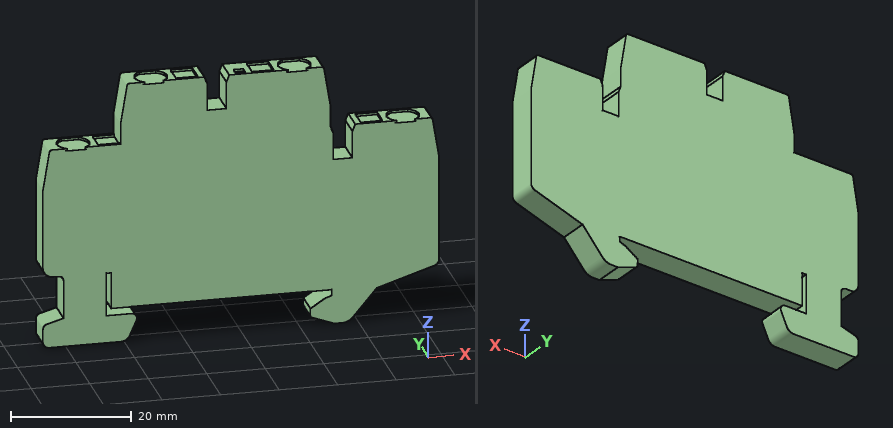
import cadquery as cq

LENGTH = 67.7
THICKNESS = 5.2
HEIGHT = 46.0

STEP_TOP = 35.3
TOWER_LEFT = 13.3
TOWER_RIGHT = 49.15
TOWER_CENTER = (TOWER_LEFT + TOWER_RIGHT) / 2
TAPER_WIDTH = 1.15
TAPER_HEIGHT = 7.05
TAPER_TOP_RADIUS = 0.5

NOTCH_WIDTH = 3.25
NOTCH_DEPTH = 5.95
FLARE_WIDTH = 0.5
FLARE_HEIGHT = 1.2
UPPER_NOTCH_LEFT = 28.1
LOWER_NOTCH_LEFT = 49.6

RIGHT_LOWER_CORNER_Z = 9.1
RIGHT_LOWER_CORNER_RADIUS = 1.15

SEAT_Z = 6.1
SLOT_LEFT = 10.8
SLOT_RIGHT = 11.65
SLOT_TOP = 12.45

UNDERCUT_X = 3.5
UNDERCUT_TOP = 12.6
UNDERCUT_BOTTOM = 5.1
HEEL_Z = 4.05
TOE_TOP = 4.9
TOE_TOP_X = 16.6
TOE_BOTTOM_X = 14.4
HEEL_BOTTOM_RADIUS = 1.0
HEEL_TOP_RADIUS = 0.9
UNDERCUT_INNER_RADIUS = 0.9
UNDERCUT_OUTER_RADIUS = 1.6
TOE_TOP_RADIUS = 0.95
TOE_BOTTOM_RADIUS = 1.6

HOOK_ROOT_X = 49.35
HOOK_ROOT_Z = 5.1
HOOK_SHOULDER = (48.2, 4.7)
HOOK_TIP_X = 45.7
HOOK_TIP_TOP = 3.05
HOOK_TIP_BOTTOM = 1.5
HOOK_BOTTOM_LEFT = 49.75
HOOK_BOTTOM_RIGHT = 52.25
HOOK_BACK = (57.1, 5.7)
HOOK_BOTTOM_RADIUS = 2.4
HOOK_TIP_RADIUS = 0.35
HOOK_ROOT_RADIUS = 0.3

RECESS_DEPTH = 0.4
SCREW_RADIUS = 2.8
SCREW_CENTER_Y = 2.3
SCREW_BACK_Y = 4.7
WINDOW_LENGTH = 3.7
WINDOW_WIDTH = 3.85
WINDOW_FRONT_Y = 0.6
TEST_POINT_SIZE = 1.6
TEST_POINT_LEFT = 33.1
LOWER_SCREW_OFFSET = 28.15
LOWER_WINDOW_OFFSET = LENGTH / 2 - TOWER_LEFT + WINDOW_LENGTH / 2
UPPER_SCREW_OFFSET = 12.25
UPPER_WINDOW_OFFSET = 6.5


def make_body():
    """Extrude the housing outline through the full thickness."""
    upper_notch_right = UPPER_NOTCH_LEFT + NOTCH_WIDTH
    lower_notch_right = LOWER_NOTCH_LEFT + NOTCH_WIDTH
    side_top = STEP_TOP - TAPER_HEIGHT
    tower_side_top = HEIGHT - TAPER_HEIGHT
    outline = [
        (0, 0),
        (0, HEEL_Z),
        (UNDERCUT_X, UNDERCUT_BOTTOM),
        (UNDERCUT_X, UNDERCUT_TOP),
        (0, UNDERCUT_TOP),
        (0, side_top),
        (TAPER_WIDTH, STEP_TOP),
        (TOWER_LEFT, STEP_TOP),
        (TOWER_LEFT, tower_side_top),
        (TOWER_LEFT + TAPER_WIDTH, HEIGHT),
        (UPPER_NOTCH_LEFT - FLARE_WIDTH, HEIGHT),
        (UPPER_NOTCH_LEFT, HEIGHT - FLARE_HEIGHT),
        (UPPER_NOTCH_LEFT, HEIGHT - NOTCH_DEPTH),
        (upper_notch_right, HEIGHT - NOTCH_DEPTH),
        (upper_notch_right, HEIGHT - FLARE_HEIGHT),
        (upper_notch_right + FLARE_WIDTH, HEIGHT),
        (TOWER_RIGHT - TAPER_WIDTH, HEIGHT),
        (TOWER_RIGHT, tower_side_top),
        (TOWER_RIGHT, STEP_TOP),
        (LOWER_NOTCH_LEFT, STEP_TOP - FLARE_HEIGHT),
        (LOWER_NOTCH_LEFT, STEP_TOP - NOTCH_DEPTH),
        (lower_notch_right, STEP_TOP - NOTCH_DEPTH),
        (lower_notch_right, STEP_TOP - FLARE_HEIGHT),
        (lower_notch_right + FLARE_WIDTH, STEP_TOP),
        (LENGTH - TAPER_WIDTH, STEP_TOP),
        (LENGTH, side_top),
        (LENGTH, RIGHT_LOWER_CORNER_Z),
        HOOK_BACK,
        (HOOK_BOTTOM_RIGHT, 0),
        (HOOK_BOTTOM_LEFT, 0),
        (HOOK_TIP_X, HOOK_TIP_BOTTOM),
        (HOOK_TIP_X, HOOK_TIP_TOP),
        HOOK_SHOULDER,
        (HOOK_ROOT_X, HOOK_ROOT_Z),
        (HOOK_ROOT_X, SEAT_Z),
        (SLOT_RIGHT, SEAT_Z),
        (SLOT_RIGHT, SLOT_TOP),
        (SLOT_LEFT, SLOT_TOP),
        (SLOT_LEFT, TOE_TOP),
        (TOE_TOP_X, TOE_TOP),
        (TOE_BOTTOM_X, 0),
    ]
    return cq.Workplane("XZ").polyline(outline).close().extrude(-THICKNESS)


def round_corners(body):
    """Round the outline corners of the foot, hook, sides and taper tops."""
    corner_radii = [
        ((0, 0), HEEL_BOTTOM_RADIUS),
        ((0, HEEL_Z), HEEL_TOP_RADIUS),
        ((UNDERCUT_X, UNDERCUT_TOP), UNDERCUT_INNER_RADIUS),
        ((0, UNDERCUT_TOP), UNDERCUT_OUTER_RADIUS),
        ((TAPER_WIDTH, STEP_TOP), TAPER_TOP_RADIUS),
        ((TOWER_LEFT + TAPER_WIDTH, HEIGHT), TAPER_TOP_RADIUS),
        ((TOWER_RIGHT - TAPER_WIDTH, HEIGHT), TAPER_TOP_RADIUS),
        ((LENGTH - TAPER_WIDTH, STEP_TOP), TAPER_TOP_RADIUS),
        ((LENGTH, RIGHT_LOWER_CORNER_Z), RIGHT_LOWER_CORNER_RADIUS),
        ((HOOK_BOTTOM_RIGHT, 0), HOOK_BOTTOM_RADIUS),
        ((HOOK_TIP_X, HOOK_TIP_BOTTOM), HOOK_TIP_RADIUS),
        ((HOOK_ROOT_X, HOOK_ROOT_Z), HOOK_ROOT_RADIUS),
        ((TOE_TOP_X, TOE_TOP), TOE_TOP_RADIUS),
        ((TOE_BOTTOM_X, 0), TOE_BOTTOM_RADIUS),
    ]
    for (x, z), radius in corner_radii:
        edge = cq.selectors.NearestToPointSelector((x, THICKNESS / 2, z))
        body = body.edges("|Y").edges(edge).fillet(radius)
    return body


def rectangular_recess(left, length, width, top):
    """Shallow rectangular cutter sunk below a terminal top."""
    corner = (left, WINDOW_FRONT_Y, top - RECESS_DEPTH)
    return cq.Workplane("XY").box(length, width, RECESS_DEPTH, centered=False).translate(corner)


def screw_recess(center_x, top):
    """Round cutter, open at the front face and flattened towards the back."""
    base = cq.Workplane("XY", origin=(center_x, 0, top - RECESS_DEPTH))
    disc = base.center(0, SCREW_CENTER_Y).circle(SCREW_RADIUS).extrude(RECESS_DEPTH)
    flat_limit = base.center(0, SCREW_BACK_Y / 2).rect(2 * SCREW_RADIUS, SCREW_BACK_Y).extrude(RECESS_DEPTH)
    return disc.intersect(flat_limit)


def cut_terminals(body):
    """Cut a screw recess and a wire window on both sides of each level."""
    levels = [
        (LENGTH / 2, STEP_TOP, LOWER_SCREW_OFFSET, LOWER_WINDOW_OFFSET),
        (TOWER_CENTER, HEIGHT, UPPER_SCREW_OFFSET, UPPER_WINDOW_OFFSET),
    ]
    for center, top, screw_offset, window_offset in levels:
        for side in (-1, 1):
            window_left = center + side * window_offset - WINDOW_LENGTH / 2
            body = body.cut(screw_recess(center + side * screw_offset, top))
            body = body.cut(rectangular_recess(window_left, WINDOW_LENGTH, WINDOW_WIDTH, top))
    return body


def cut_test_point(body):
    """Cut the small square test point beside the upper notch."""
    return body.cut(rectangular_recess(TEST_POINT_LEFT, TEST_POINT_SIZE, TEST_POINT_SIZE, HEIGHT))


result = cut_test_point(cut_terminals(round_corners(make_body())))